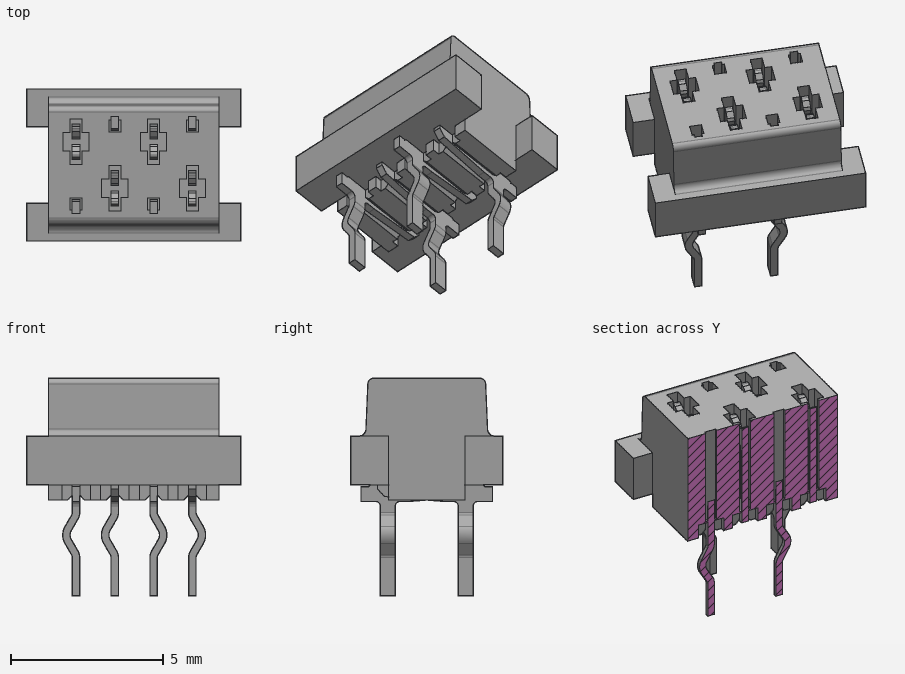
import cadquery as cq
import math

top_z = 7.15
flange_top_z = 5.25
flange_bottom_z = 3.65
body_bottom_z = 3.145

body_length = 5.605
flange_length = 7.04
flange_width = 5.0
core_width = 2.5
shoulder_top_half = 1.93
shoulder_foot_half = 2.01
top_fillet = 0.2
foot_fillet = 0.235

pitch = 1.27
columns = 4
row_shift = 0.015
contact_thickness = 0.25

socket_y = 0.765
socket_floor_z = 3.72
socket_slot = (0.39, 1.495)
socket_cross = (0.86, 0.61)

keyhole_width = 0.39
keyhole_inner_y = 1.09
keyhole_step_y = 1.48
keyhole_outer_y = 1.595
keyhole_floor_z = socket_floor_z

recess_width = 0.94
recess_depth = 0.25
groove_mouth = 0.55
groove_top = 0.265
groove_height = 0.15

arm_end_y = 2.17
arm_top_z = 3.59
arm_step_y = 1.9
arm_bottom_z = 3.095
base_rise_y = 0.57
base_far_y = 1.615
base_far_corner_z = 3.28
base_far_chamfer = 0.23
post_root_y = 1.13
post_tip_y = 1.195
post_top_z = 5.36

tine_outer = 0.58
tine_inner = 0.32
tine_waist_z = 6.005
tine_tip = 0.09
tine_tip_z = 6.665
tine_lead_start = 0.15
tine_lead_start_z = 6.765
tine_lead_end = 0.33
tine_lead_end_z = 6.9
tine_top_inner = 0.43
tine_top_outer = 0.51
tine_top_z = 6.93

leg_y = 1.28
leg_width = 0.5
leg_root_fillet = 0.14
kink_top_z = 2.66
kink_bottom_z = 1.34
kink_angle = 30.0
bend_inner_radius = 0.3
kink_inner_radius = 0.18


def box(x, y, z_low, z_high, size):
    """Upright block with its plan centred on (x, y)."""
    return cq.Workplane("XY").box(*size, z_high - z_low, centered=(True, True, False)).translate((x, y, z_low))


def prism_x(points, length):
    """Extrude a YZ outline symmetrically about x = 0."""
    return cq.Workplane("YZ").polyline(points).close().extrude(length / 2, both=True)


def fillet_edge(solid, point, radius):
    """Round the straight edge whose middle is at the given point."""
    return solid.edges(cq.selectors.NearestToPointSelector(point)).fillet(radius)


def make_housing():
    half_flange = flange_width / 2
    housing = prism_x(
        [
            (-half_flange, flange_bottom_z),
            (half_flange, flange_bottom_z),
            (half_flange, flange_top_z),
            (shoulder_foot_half, flange_top_z),
            (shoulder_top_half, top_z),
            (-shoulder_top_half, top_z),
            (-shoulder_foot_half, flange_top_z),
            (-half_flange, flange_top_z),
        ],
        body_length,
    )
    for side in (-1, 1):
        housing = fillet_edge(housing, (0, side * shoulder_top_half, top_z), top_fillet)
        housing = fillet_edge(housing, (0, side * shoulder_foot_half, flange_top_z), foot_fillet)
    rail_width = (flange_width - core_width) / 2
    rail_y = (flange_width + core_width) / 4
    for side in (-1, 1):
        rail = box(0, side * rail_y, flange_bottom_z, flange_top_z, (flange_length, rail_width))
        housing = housing.union(rail)
    core = box(0, 0, body_bottom_z, flange_top_z, (body_length, core_width))
    return housing.union(core)


def make_cutter():
    """Everything removed from the housing for a contact at x = 0 with its leg on the -Y side."""
    slot = box(0, socket_y, socket_floor_z, top_z, socket_slot)
    cross = box(0, socket_y, socket_floor_z, top_z, socket_cross)

    hole_length = keyhole_step_y - keyhole_inner_y
    hole_y = -(keyhole_step_y + keyhole_inner_y) / 2
    hole = box(0, hole_y, keyhole_floor_z, top_z, (keyhole_width, hole_length))
    notch_length = keyhole_outer_y - keyhole_inner_y
    notch_y = -(keyhole_outer_y + keyhole_inner_y) / 2
    notch = box(0, notch_y, keyhole_floor_z, top_z, (contact_thickness, notch_length))

    groove = (
        cq.Workplane("XZ")
        .polyline(
            [
                (-groove_mouth / 2, body_bottom_z),
                (groove_mouth / 2, body_bottom_z),
                (groove_top / 2, body_bottom_z + groove_height),
                (-groove_top / 2, body_bottom_z + groove_height),
            ]
        )
        .close()
        .extrude(core_width / 2, both=True)
    )
    cutter = slot.union(cross).union(hole).union(notch).union(groove)
    recess_y = (core_width - recess_depth) / 2
    for side in (-1, 1):
        recess = box(0, side * recess_y, body_bottom_z, flange_bottom_z, (recess_width, recess_depth))
        cutter = cutter.union(recess)
    return cutter


def make_base():
    """Flat base with the solder-side arm, the rising far end and the retaining post."""
    arm_step = flange_bottom_z - arm_top_z
    base = prism_x(
        [
            (-arm_end_y, arm_bottom_z),
            (-base_rise_y, arm_bottom_z),
            (base_far_y, base_far_corner_z),
            (base_far_y, socket_floor_z),
            (-arm_step_y + arm_step, socket_floor_z),
            (-arm_step_y + arm_step, flange_bottom_z),
            (-arm_step_y, arm_top_z),
            (-arm_end_y, arm_top_z),
        ],
        contact_thickness,
    )
    far_corner = cq.selectors.NearestToPointSelector((0, base_far_y, base_far_corner_z))
    base = base.edges(far_corner).chamfer(base_far_chamfer)
    post = prism_x(
        [
            (-keyhole_outer_y, socket_floor_z),
            (-post_root_y, socket_floor_z),
            (-post_tip_y, post_top_z),
            (-keyhole_outer_y, post_top_z),
        ],
        contact_thickness,
    )
    return base.union(post)


def make_tine(side):
    """One of the two facing spring tines, on the +Y or -Y side of the socket centre."""
    outline = [
        (tine_inner, socket_floor_z),
        (tine_outer, socket_floor_z),
        (tine_top_outer, tine_top_z),
        (tine_top_inner, tine_top_z),
        (tine_lead_end, tine_lead_end_z),
        (tine_lead_start, tine_lead_start_z),
        (tine_tip, tine_tip_z),
        (tine_inner, tine_waist_z),
    ]
    return prism_x([(socket_y + side * offset, z) for offset, z in outline], contact_thickness)


def make_leg(side):
    """Zigzag leg of constant thickness, bulging towards +X or -X."""
    half = contact_thickness / 2
    angle = math.radians(kink_angle)
    kink_shift = half * math.tan(angle / 2)
    middle_z = (kink_top_z + kink_bottom_z) / 2
    apex = (kink_top_z - middle_z) * math.tan(angle)
    apex_outer = apex + half / math.cos(angle)
    apex_inner = apex - half / math.cos(angle)
    outline = [
        (half, arm_bottom_z),
        (half, kink_top_z + kink_shift),
        (apex_outer, middle_z),
        (half, kink_bottom_z - kink_shift),
        (half, 0),
        (-half, 0),
        (-half, kink_bottom_z + kink_shift),
        (apex_inner, middle_z),
        (-half, kink_top_z - kink_shift),
        (-half, arm_bottom_z),
    ]
    leg = (
        cq.Workplane("XZ")
        .polyline([(side * x, z) for x, z in outline])
        .close()
        .extrude(leg_width / 2, both=True)
        .translate((0, -leg_y, 0))
    )
    bulge_outer = bend_inner_radius + contact_thickness
    kink_outer = kink_inner_radius + contact_thickness
    bends = [
        (apex_outer, middle_z, bulge_outer),
        (apex_inner, middle_z, bend_inner_radius),
        (half, kink_top_z + kink_shift, kink_inner_radius),
        (half, kink_bottom_z - kink_shift, kink_inner_radius),
        (-half, kink_top_z - kink_shift, kink_outer),
        (-half, kink_bottom_z + kink_shift, kink_outer),
    ]
    for x, z, radius in bends:
        leg = fillet_edge(leg, (side * x, -leg_y, z), radius)
    return leg


def make_contact(bulge_side):
    contact = make_base().union(make_tine(1)).union(make_tine(-1)).union(make_leg(bulge_side))
    for edge_y in (-leg_y - leg_width / 2, -leg_y + leg_width / 2):
        contact = fillet_edge(contact, (0, edge_y, arm_bottom_z), leg_root_fillet)
    return contact


result = make_housing()
cutter = make_cutter()
for index in range(columns):
    x = (index - (columns - 1) / 2) * pitch + row_shift
    turn = 180 * (index % 2)
    bulge = 1 if x > 0 else -1
    local_bulge = -bulge if turn else bulge
    contact = make_contact(local_bulge)
    result = result.cut(cutter.rotate((0, 0, 0), (0, 0, 1), turn).translate((x, 0, 0)))
    result = result.union(contact.rotate((0, 0, 0), (0, 0, 1), turn).translate((x, 0, 0)))